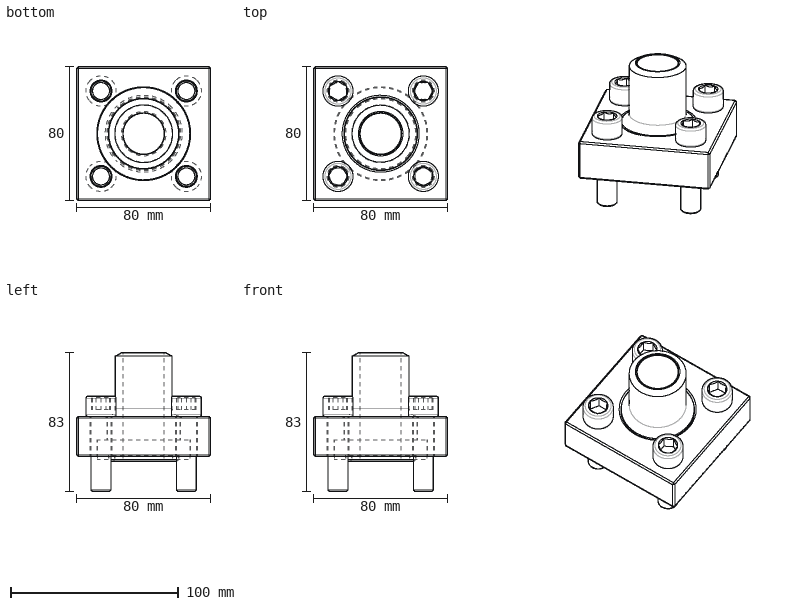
import cadquery as cq
import math


flange_side = 80.0
flange_thickness = 24.0
flange_chamfer = 1.0
neck_bore_diameter = 44.0
collar_bore_diameter = 56.0
collar_seat_height = 10.0
screw_hole_diameter = 13.0
screw_spacing = 51.0

pipe_diameter = 34.0
pipe_bore_diameter = 24.5
pipe_length_above_flange = 38.0
bevel_height = 2.1
bevel_land_diameter = 26.6
mouth_chamfer = 0.3
hub_diameter = 43.5
collar_diameter = 55.0
collar_protrusion = 1.75

seal_inner_diameter = 34.5
seal_section = 3.6
seal_protrusion = 1.2
groove_outer_diameter = 42.25

screw_diameter = 12.0
screw_protrusion = 21.0
screw_tip_chamfer = 1.0
head_diameter = 18.0
head_height = 12.0
head_top_fillet = 1.25
head_foot_fillet = 1.0
socket_across_corners = 11.5
socket_depth = 8.0
socket_mouth_diameter = 11.6

screw_offset = screw_spacing / 2
pipe_radius = pipe_diameter / 2
hub_radius = hub_diameter / 2
pipe_top = flange_thickness + pipe_length_above_flange
hub_fillet = hub_radius - pipe_radius
seal_center_radius = (seal_inner_diameter + seal_section) / 2
groove_depth = seal_section - seal_protrusion
socket_mouth_radius = socket_mouth_diameter / 2
socket_flat_radius = socket_across_corners / 2 * math.cos(math.pi / 6)


def make_flange():
    block = (
        cq.Workplane("XY")
        .box(flange_side, flange_side, flange_thickness, centered=(True, True, False))
        .edges()
        .chamfer(flange_chamfer)
    )
    neck_bore = cq.Workplane("XY").circle(neck_bore_diameter / 2).extrude(flange_thickness)
    collar_bore = cq.Workplane("XY").circle(collar_bore_diameter / 2).extrude(collar_seat_height)
    screw_holes = (
        cq.Workplane("XY")
        .rect(screw_spacing, screw_spacing, forConstruction=True)
        .vertices()
        .circle(screw_hole_diameter / 2)
        .extrude(flange_thickness)
    )
    flange = block.cut(neck_bore).cut(collar_bore).cut(screw_holes)
    largest_circle = cq.selectors.RadiusNthSelector(-1)
    return flange.faces(">Z").edges("%CIRCLE").edges(largest_circle).chamfer(flange_chamfer)


def make_pipe_stub():
    fillet_top = flange_thickness + hub_fillet
    fillet_middle = (
        hub_radius - hub_fillet * math.sqrt(0.5),
        fillet_top - hub_fillet * math.sqrt(0.5),
    )
    bore_radius = pipe_bore_diameter / 2
    body = (
        cq.Workplane("XZ")
        .moveTo(bore_radius, -collar_protrusion)
        .lineTo(collar_diameter / 2, -collar_protrusion)
        .lineTo(collar_diameter / 2, collar_seat_height)
        .lineTo(hub_radius, collar_seat_height)
        .lineTo(hub_radius, flange_thickness)
        .threePointArc(fillet_middle, (pipe_radius, fillet_top))
        .lineTo(pipe_radius, pipe_top - bevel_height)
        .lineTo(bevel_land_diameter / 2, pipe_top)
        .lineTo(bore_radius + mouth_chamfer, pipe_top)
        .lineTo(bore_radius, pipe_top - mouth_chamfer)
        .close()
        .revolve(360, (0, 0, 0), (0, 1, 0))
    )
    groove = (
        cq.Workplane("XY", origin=(0, 0, -collar_protrusion))
        .circle(groove_outer_diameter / 2)
        .circle(seal_inner_diameter / 2)
        .extrude(groove_depth)
    )
    return body.cut(groove)


def make_seal_ring():
    section_center_height = seal_section / 2 - seal_protrusion - collar_protrusion
    return (
        cq.Workplane("XZ")
        .center(seal_center_radius, section_center_height)
        .circle(seal_section / 2)
        .revolve(360, (-seal_center_radius, 0, 0), (-seal_center_radius, 1, 0))
    )


def make_screw():
    head = (
        cq.Workplane("XY", origin=(0, 0, flange_thickness))
        .circle(head_diameter / 2)
        .extrude(head_height)
        .faces(">Z")
        .edges()
        .fillet(head_top_fillet)
        .faces("<Z")
        .edges()
        .fillet(head_foot_fillet)
    )
    shank = (
        cq.Workplane("XY", origin=(0, 0, -screw_protrusion))
        .circle(screw_diameter / 2)
        .extrude(screw_protrusion + flange_thickness)
        .faces("<Z")
        .edges()
        .chamfer(screw_tip_chamfer)
    )
    head_top = flange_thickness + head_height
    socket = (
        cq.Workplane("XY", origin=(0, 0, head_top))
        .polygon(6, socket_across_corners)
        .extrude(-socket_depth)
    )
    mouth_depth = socket_mouth_radius - socket_flat_radius
    mouth = cq.Solid.makeCone(
        socket_mouth_radius,
        socket_flat_radius,
        mouth_depth,
        pnt=cq.Vector(0, 0, head_top),
        dir=cq.Vector(0, 0, -1),
    )
    return head.union(shank).cut(socket).cut(mouth)


flange = make_flange()
pipe_stub = make_pipe_stub()
seal_ring = make_seal_ring()

screw = make_screw().translate((screw_offset, screw_offset, 0))
screw_count = 4
screws = []
for turn in range(screw_count):
    screws.append(screw.rotate((0, 0, 0), (0, 0, 1), 360 / screw_count * turn))

result = cq.Compound.makeCompound(
    [flange.val(), pipe_stub.val(), seal_ring.val()] + [copy.val() for copy in screws]
)